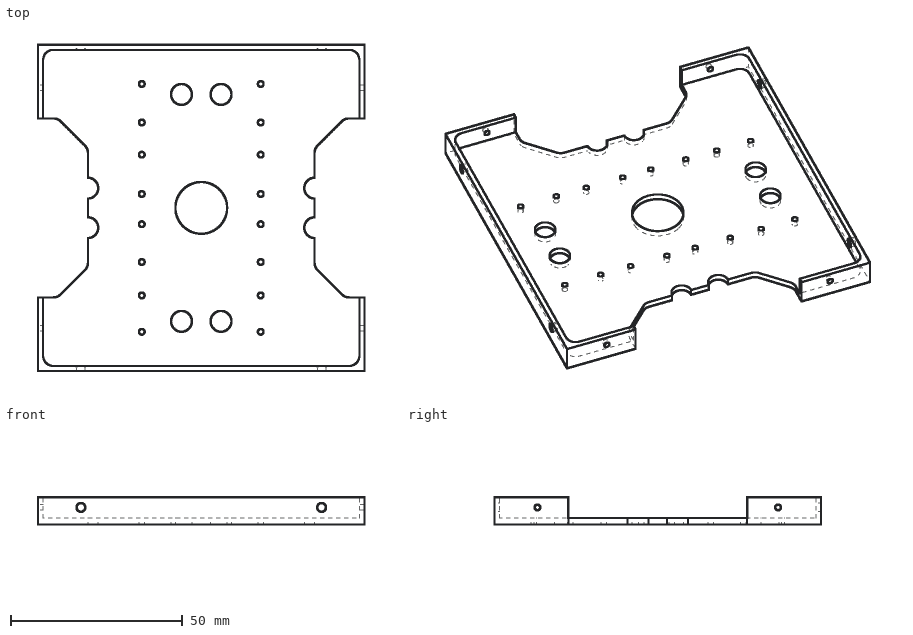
import cadquery as cq

SIDE = 95.0
HEIGHT = 8.0
FLOOR = 2.0
WALL = 1.5
INNER_CORNER_RADIUS = 3.0

CUTOUT_HALF_WIDTH = 26.0
CUTOUT_HALF_WAIST = 17.25
CUTOUT_EDGE_X = 33.0
CUTOUT_RADIUS = 3.0

CENTER_HOLE_DIAMETER = 15.0
CABLE_HOLE_DIAMETER = 6.0
CABLE_HOLE_OFFSET = 5.75
CABLE_PAIR_DISTANCE = 33.0
PIN_HOLE_DIAMETER = 1.6
PIN_COLUMN_X = 17.3
PIN_ROWS_Y = [36.05, 24.85, 15.47, 4.05, -4.75, -15.75, -25.45, -36.05]

WALL_HOLE_OFFSET = 35.0
WALL_HOLE_Z = (FLOOR + HEIGHT) / 2
FRONT_WALL_HOLE_DIAMETER = 2.5
SIDE_WALL_HOLE_DIAMETER = 1.6


def make_tray():
    """Square block with a round-cornered pocket open at the top."""
    block = cq.Workplane("XY").box(SIDE, SIDE, HEIGHT, centered=(True, True, False))
    pocket = (
        cq.Workplane("XY", origin=(0, 0, FLOOR))
        .rect(SIDE - 2 * WALL, SIDE - 2 * WALL)
        .extrude(HEIGHT - FLOOR)
        .edges("|Z")
        .fillet(INNER_CORNER_RADIUS)
    )
    return block.cut(pocket)


def make_side_cutout():
    """Trapezoidal cutter on the +X side: 45 degree flanks with rounded bends."""
    flank_end_x = CUTOUT_EDGE_X + CUTOUT_HALF_WIDTH - CUTOUT_HALF_WAIST
    outer_x = SIDE / 2
    cutter = (
        cq.Workplane("XY")
        .polyline(
            [
                (outer_x, -CUTOUT_HALF_WIDTH),
                (flank_end_x, -CUTOUT_HALF_WIDTH),
                (CUTOUT_EDGE_X, -CUTOUT_HALF_WAIST),
                (CUTOUT_EDGE_X, CUTOUT_HALF_WAIST),
                (flank_end_x, CUTOUT_HALF_WIDTH),
                (outer_x, CUTOUT_HALF_WIDTH),
            ]
        )
        .close()
        .extrude(HEIGHT)
    )
    return cutter.edges("|Z and (not >X)").fillet(CUTOUT_RADIUS)


def make_floor_holes(diameter, centers):
    """Vertical cylinders that pass through the floor at the given centers."""
    return cq.Workplane("XY").pushPoints(centers).circle(diameter / 2).extrude(FLOOR)


def cable_hole_centers():
    """Pairs on all four sides; the pairs at +X and -X open into the side cutouts."""
    centers = []
    for distance in (-CABLE_PAIR_DISTANCE, CABLE_PAIR_DISTANCE):
        for offset in (-CABLE_HOLE_OFFSET, CABLE_HOLE_OFFSET):
            centers.append((offset, distance))
            centers.append((distance, offset))
    return centers


def make_wall_holes(plane, diameter):
    """Horizontal cylinders that pass through two opposite walls."""
    centers = [(-WALL_HOLE_OFFSET, WALL_HOLE_Z), (WALL_HOLE_OFFSET, WALL_HOLE_Z)]
    return cq.Workplane(plane).pushPoints(centers).circle(diameter / 2).extrude(SIDE / 2, both=True)


side_cutout = make_side_cutout()
pin_hole_centers = [(x, y) for x in (-PIN_COLUMN_X, PIN_COLUMN_X) for y in PIN_ROWS_Y]

result = (
    make_tray()
    .cut(side_cutout)
    .cut(side_cutout.mirror("YZ"))
    .cut(make_floor_holes(CENTER_HOLE_DIAMETER, [(0, 0)]))
    .cut(make_floor_holes(CABLE_HOLE_DIAMETER, cable_hole_centers()))
    .cut(make_floor_holes(PIN_HOLE_DIAMETER, pin_hole_centers))
    .cut(make_wall_holes("XZ", FRONT_WALL_HOLE_DIAMETER))
    .cut(make_wall_holes("YZ", SIDE_WALL_HOLE_DIAMETER))
)